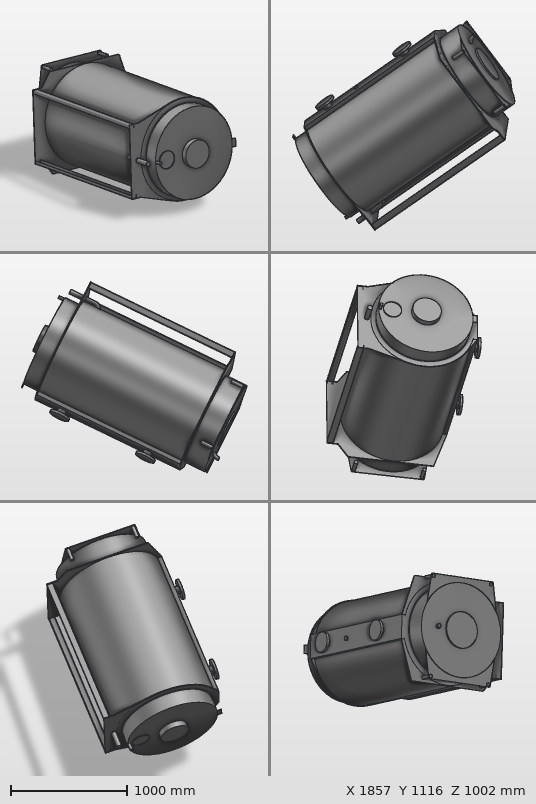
import cadquery as cq
import math

PITCH = 3.0
PITCH_ANGLE = math.radians(PITCH)
OVERALL_LENGTH = 1857.0

DRUM_DIA = 826.0
NECK_DIA = 812.0
NECK_LENGTH = 5.0
SHELL_DIA = 908.0
ROOT_Y = SHELL_DIA / 4
FRONT_PLATE_X = 200.0
REAR_PLATE_X = 1580.0
PLATE_THICKNESS = 10.0
REAR_END_X = 1735.0

PLATE_TOP = 460.0
PLATE_BACK_Y = 481.0
PLATE_BACK_HALF = 105.0
PLATE_BACK_CORNER_Y = 362.0
PLATE_FOOT_CORNER_Y = -388.0
FOOT_INNER_Y = -475.0
FOOT_Y = -570.0
FOOT_HALF = 335.0
PLATE_CORNER_RADIUS = 15.0
PANEL_THICKNESS = 37.0

CHANNEL_WIDTH = 54.0
CHANNEL_HEIGHT = 32.0
CHANNEL_WALL = 4.0
CHANNEL_BEND = 7.0

NOZZLE_XS = (510.0, 1331.0)
NOZZLE_DIA = 76.0
FLANGE_DIA = 180.0
FLANGE_THICKNESS = 22.0
FLANGE_FACE_Y = 546.0
SOCKET_X = 1035.0
SOCKET_DIA = 37.0
SOCKET_END_Y = 495.0

COVER_DIA = 320.0
COVER_THICKNESS = 15.0
VENT_DIA = 32.0
VENT_ROOT_Y = 232.0
VENT_TIP_Y = 267.0
VENT_REACH = 63.0
VENT_STRAIGHT = 5.0

FLUE_DIA = 250.0
FLUE_END_X = 1786.0
HATCH_DIA = 160.0
HATCH_THICKNESS = 7.0
HATCH_Y = -293.0
DRAIN_DIA = 26.0
DRAIN_Y = -401.0
PITCHED_RADII = (VENT_DIA + DRAIN_DIA) / 2 * math.sin(PITCH_ANGLE)
DRAIN_END_X = (OVERALL_LENGTH - PITCHED_RADII) / math.cos(PITCH_ANGLE) - VENT_REACH
TAB_END_Y = 451.0
TAB_HEIGHT = 75.0
TAB_THICKNESS = 5.0

PIPE_DIA = 43.0
PIPE_Y = -488.0
PIPE_BEND = 43.0
PIPE_STRAIGHT_X = 1487.0
PIPE_END_X = 1729.0

CORNER_THICKNESS = 5.0
CORNER_TOP = 460.0
CORNER_BASE = 200.0
CORNER_TOP_HALF = 320.0
CORNER_BASE_HALF = 360.0
CORNER_RADIUS = 15.0
PIN_DIA = 32.0
PIN_LENGTH = 115.0
PIN_Y = 299.0
PIN_Z = 438.0


def rod_x(dia, start_x, end_x, y=0.0, z=0.0):
    """Round bar parallel to the boiler axis."""
    plane = cq.Workplane("YZ", origin=(start_x, y, z))
    return plane.circle(dia / 2).extrude(end_x - start_x)


def rod_y(dia, x, end_y, length):
    """Round bar that runs in +Y from the boiler's mid-height and ends at end_y."""
    plane = cq.Workplane("XZ", origin=(x, end_y, 0))
    return plane.circle(dia / 2).extrude(length)


def vessel():
    """Door drum, shell and rear drum, with a narrower neck next to each support plate."""
    front_neck_x = FRONT_PLATE_X - NECK_LENGTH
    rear_neck_x = REAR_PLATE_X + PLATE_THICKNESS
    drum_x = rear_neck_x + NECK_LENGTH
    return (
        rod_x(DRUM_DIA, 0, front_neck_x)
        .union(rod_x(NECK_DIA, front_neck_x, drum_x))
        .union(rod_x(SHELL_DIA, FRONT_PLATE_X, REAR_PLATE_X))
        .union(rod_x(DRUM_DIA, drum_x, REAR_END_X))
    )


def mirrored_outline(upper_points):
    """Closed outline in Y and Z from its points above mid-height."""
    lower_points = [(y, -z) for y, z in reversed(upper_points)]
    return upper_points + lower_points


def plate_blank(start_x, outline):
    """Plate of support-plate thickness, square to the boiler axis."""
    plane = cq.Workplane("YZ", origin=(start_x, 0, 0))
    return plane.polyline(outline).close().extrude(PLATE_THICKNESS)


def front_plate():
    """Plate that covers the shell end, flat at top and bottom and cut back beside the foot edge."""
    outline = mirrored_outline([
        (PLATE_BACK_Y, PLATE_BACK_HALF),
        (PLATE_BACK_CORNER_Y, PLATE_TOP),
        (PLATE_FOOT_CORNER_Y, PLATE_TOP),
        (FOOT_INNER_Y, FOOT_HALF),
        (FOOT_Y, FOOT_HALF),
    ])
    plate = plate_blank(FRONT_PLATE_X, outline)
    return plate.edges("(>Z or <Z) and |X").fillet(PLATE_CORNER_RADIUS)


def tangent_point(y, z):
    """Point above mid-height where a line from (y, z) touches the rear plate's circle."""
    distance = math.hypot(y, z)
    swing = math.acos(PLATE_TOP / distance)
    angle = math.atan2(z, y) + math.copysign(swing, y)
    return (PLATE_TOP * math.cos(angle), PLATE_TOP * math.sin(angle))


def rear_plate():
    """Plate around the shell, with straight flanks from its circle to the panel and the foot edge."""
    outline = mirrored_outline([
        (PLATE_BACK_Y, PLATE_BACK_HALF),
        tangent_point(PLATE_BACK_Y, PLATE_BACK_HALF),
        tangent_point(FOOT_INNER_Y, FOOT_HALF),
        (FOOT_INNER_Y, FOOT_HALF),
        (FOOT_Y, FOOT_HALF),
    ])
    disc = rod_x(2 * PLATE_TOP, REAR_PLATE_X, REAR_PLATE_X + PLATE_THICKNESS)
    return plate_blank(REAR_PLATE_X, outline).union(disc)


def back_panel():
    """Flat bar between the support plates that is set on the shell around the nozzles."""
    length = REAR_PLATE_X - FRONT_PLATE_X
    bar = cq.Workplane("XY").box(
        length, PANEL_THICKNESS, 2 * PLATE_BACK_HALF, centered=(False, False, True)
    )
    return bar.translate((FRONT_PLATE_X, PLATE_BACK_Y - PANEL_THICKNESS, 0))


def foot_channel(side):
    """Bent U channel at the upper (side = 1) or lower (side = -1) foot corner, open to the middle."""
    length = REAR_PLATE_X - FRONT_PLATE_X
    center_y = FOOT_Y + CHANNEL_WIDTH / 2
    outer = (
        cq.Workplane("XY")
        .box(length, CHANNEL_WIDTH, CHANNEL_HEIGHT, centered=(False, True, False))
        .edges("|X and <Z")
        .fillet(CHANNEL_BEND)
    )
    hollow = (
        cq.Workplane("XY", origin=(0, 0, CHANNEL_WALL))
        .box(length, CHANNEL_WIDTH - 2 * CHANNEL_WALL, CHANNEL_HEIGHT, centered=(False, True, False))
        .edges("|X and <Z")
        .fillet(CHANNEL_BEND - CHANNEL_WALL)
    )
    channel = outer.cut(hollow).translate((FRONT_PLATE_X, center_y, -FOOT_HALF))
    return channel.mirror("XY") if side > 0 else channel


def nozzle(x):
    """Flanged nozzle pointing in +Y."""
    flange = rod_y(FLANGE_DIA, x, FLANGE_FACE_Y, FLANGE_THICKNESS)
    return flange.union(rod_y(NOZZLE_DIA, x, FLANGE_FACE_Y, FLANGE_FACE_Y - ROOT_Y))


def vent_pipe():
    """Bent vent in the door, its tip parallel to the boiler axis."""
    bend_x = VENT_STRAIGHT - VENT_REACH
    path = (
        cq.Workplane("XY")
        .moveTo(-VENT_REACH, VENT_TIP_Y)
        .lineTo(bend_x, VENT_TIP_Y)
        .tangentArcPoint((0, VENT_ROOT_Y), relative=False)
    )
    profile = cq.Workplane("YZ", origin=(-VENT_REACH, VENT_TIP_Y, 0)).circle(VENT_DIA / 2)
    return profile.sweep(path)


def elbow_pipe():
    """Pipe that leaves the shell in -Y, bends and runs through the rear support plate."""
    path = (
        cq.Workplane("XY")
        .moveTo(PIPE_END_X, PIPE_Y)
        .lineTo(PIPE_STRAIGHT_X, PIPE_Y)
        .tangentArcPoint((-PIPE_BEND, PIPE_BEND))
        .lineTo(PIPE_STRAIGHT_X - PIPE_BEND, -ROOT_Y)
    )
    return cq.Workplane("YZ", origin=(PIPE_END_X, PIPE_Y, 0)).circle(PIPE_DIA / 2).sweep(path)


def rear_tab():
    """Flat lug on the +Y edge of the rear end."""
    tab = cq.Workplane("XY").box(
        TAB_THICKNESS, TAB_END_Y, TAB_HEIGHT, centered=(False, False, True)
    )
    return tab.translate((REAR_END_X - TAB_THICKNESS, 0, 0))


def boiler_body():
    """Vessel with its supports, nozzles, pipes and end fittings."""
    fittings = [
        front_plate(),
        rear_plate(),
        back_panel(),
        foot_channel(1),
        foot_channel(-1),
        *[nozzle(x) for x in NOZZLE_XS],
        rod_y(SOCKET_DIA, SOCKET_X, SOCKET_END_Y, SOCKET_END_Y - ROOT_Y),
        rod_x(COVER_DIA, -COVER_THICKNESS, 0),
        vent_pipe(),
        elbow_pipe(),
        rear_tab(),
        rod_x(FLUE_DIA, REAR_END_X, FLUE_END_X),
        rod_x(HATCH_DIA, REAR_END_X, REAR_END_X + HATCH_THICKNESS, HATCH_Y),
        rod_x(DRAIN_DIA, REAR_END_X, DRAIN_END_X, DRAIN_Y),
    ]
    body = vessel()
    for fitting in fittings:
        body = body.union(fitting)
    return body


def corner_plate(side):
    """Door plate above (side = 1) or below (side = -1) the drum, with two pin holes."""
    plate = (
        cq.Workplane("YZ")
        .polyline([
            (-CORNER_BASE_HALF, CORNER_BASE),
            (-CORNER_TOP_HALF, CORNER_TOP),
            (CORNER_TOP_HALF, CORNER_TOP),
            (CORNER_BASE_HALF, CORNER_BASE),
        ])
        .close()
        .extrude(CORNER_THICKNESS)
        .edges("|X and >Z")
        .fillet(CORNER_RADIUS)
        .cut(rod_x(DRUM_DIA, 0, CORNER_THICKNESS))
    )
    for y in (-PIN_Y, PIN_Y):
        plate = plate.cut(rod_x(PIN_DIA, 0, CORNER_THICKNESS, y, PIN_Z))
    return plate if side > 0 else plate.mirror("XY")


def pitched(body):
    """The body's solid, turned so that the boiler axis climbs towards +X."""
    return body.val().rotate(cq.Vector(0, 0, 0), cq.Vector(0, 1, 0), -PITCH)


boiler = boiler_body()
corner_plates = [corner_plate(side) for side in (1, -1)]
pins = [rod_x(PIN_DIA, 0, PIN_LENGTH, y, z) for y in (-PIN_Y, PIN_Y) for z in (-PIN_Z, PIN_Z)]

result = cq.Compound.makeCompound([pitched(body) for body in [boiler, *corner_plates, *pins]])